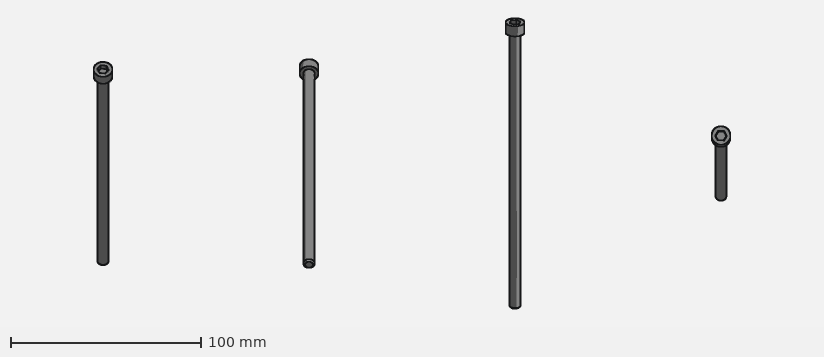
import cadquery as cq
import math

total_length = 166.0
head_diameter = 10.0
head_height = 6.0
shank_diameter = 6.0
thread_length = 24.0
tip_chamfer = 1.0
socket_width = 5.1
socket_depth = 3.0

head_base = total_length - head_height
plain_length = head_base - thread_length
socket_corner_diameter = socket_width / math.cos(math.pi / 6)


def cylinder(diameter, height, base):
    return cq.Workplane("XY").workplane(offset=base).circle(diameter / 2).extrude(height)


threaded_end = cylinder(shank_diameter, thread_length, 0).faces("<Z").chamfer(tip_chamfer)
plain_shank = cylinder(shank_diameter, plain_length, thread_length)
head = cylinder(head_diameter, head_height, head_base)

socket = (
    cq.Workplane("XY")
    .workplane(offset=total_length - socket_depth)
    .polygon(6, socket_corner_diameter)
    .extrude(socket_depth)
)

result = threaded_end.union(plain_shank, clean=False).union(head, clean=False).cut(socket, clean=False)